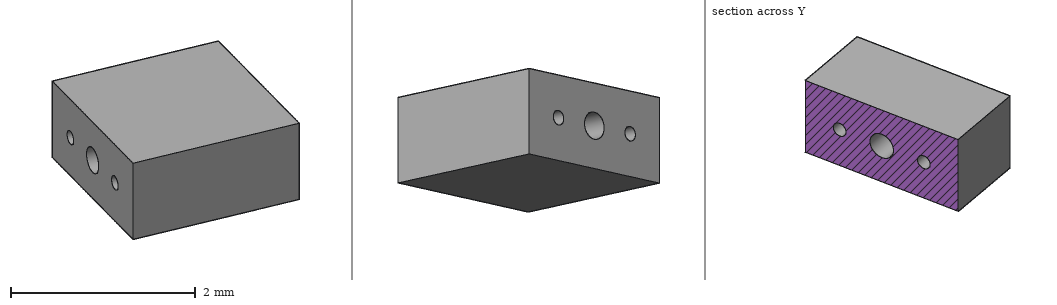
import cadquery as cq

side = 2.0
height = 0.95

centre_hole_diameter = 0.3
outer_hole_diameter = 0.16
outer_hole_spacing = 1.1


def drill_row(block, diameter, x_positions):
    """Drill through holes from the -Y face, at the given places along X."""
    centres = [(x, 0) for x in x_positions]
    return block.faces("<Y").workplane(origin=(0, 0, 0)).pushPoints(centres).hole(diameter)


result = cq.Workplane("XY").box(side, side, height)
result = drill_row(result, centre_hole_diameter, [0])
result = drill_row(result, outer_hole_diameter, [-outer_hole_spacing / 2, outer_hole_spacing / 2])